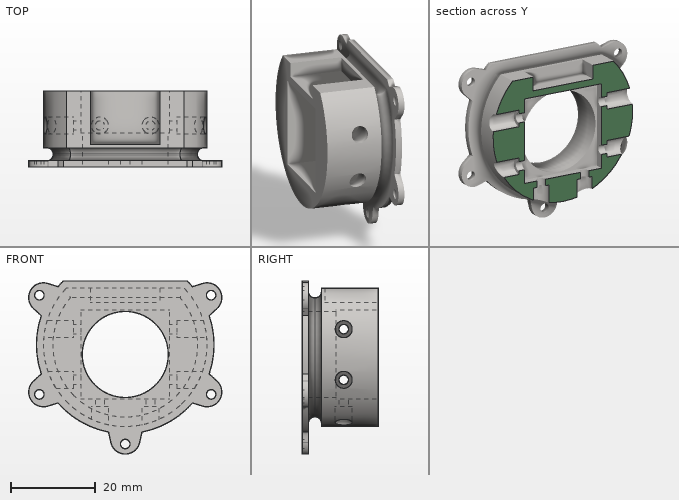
import cadquery as cq
import math

overall_width = 45.7

flange_thickness = 1.5
neck_thickness = 3.0
body_thickness = 13.48
neck_front = flange_thickness
body_front = neck_front + neck_thickness
back = body_front + body_thickness

flange_radius = 21.0
flange_top = 15.1
body_radius = 19.3
body_top = 13.4
neck_inset = 2.25
neck_radius = body_radius - neck_inset
neck_top = body_top - neck_inset
neck_fillet = 1.35

side_tab_angle = 30
tab_angles = (side_tab_angle - 180, -90, -side_tab_angle, side_tab_angle, 180 - side_tab_angle)
tab_end_radius = 3.5
tab_end_distance = (overall_width / 2 - tab_end_radius) / math.cos(math.radians(side_tab_angle))
tab_root_half_width = 3.97
tab_hole_diameter = 2.2
tab_hole_distance = 23.45

bore_z = -2.3
bore_diameter = 20.3
cavity_front = 8.0
cavity_width = 21.0

screw_y = 9.8
screw_spacing = 11.95
screw_diameter = 2.2
screw_head_diameter = 4.0
wall_thickness = 1.75
seat_distance = cavity_width / 2 + wall_thickness

slot_width = 16.35
slot_lip = 0.8
slot_front = body_front + slot_lip


def xz_plane(y):
    """Sketch plane at the given Y, facing -Y, so negative extrusions run towards the back."""
    return cq.Workplane(cq.Plane(origin=(0, y, 0), xDir=(1, 0, 0), normal=(0, -1, 0)))


def flat_topped_disc(radius, top, y, thickness):
    """Disc along Y with its upper part cut off level at Z = top."""
    half_flat = math.sqrt(radius**2 - top**2)
    return (
        xz_plane(y)
        .moveTo(-half_flat, top)
        .lineTo(half_flat, top)
        .threePointArc((0, -radius), (-half_flat, top))
        .close()
        .extrude(-thickness)
    )


def tab(angle):
    """Tapered tab with a round end tangent to both flanks, pointing out at the given angle."""
    root_distance = math.sqrt(flange_radius**2 - tab_root_half_width**2)
    root_to_end = tab_end_distance - root_distance
    root_to_centre = math.hypot(root_to_end, tab_root_half_width)
    taper = math.asin(tab_root_half_width / root_to_centre) - math.asin(tab_end_radius / root_to_centre)
    tangent_x = tab_end_distance + tab_end_radius * math.sin(taper)
    tangent_z = tab_end_radius * math.cos(taper)
    blank = (
        xz_plane(0)
        .moveTo(0, -tab_root_half_width)
        .lineTo(root_distance, -tab_root_half_width)
        .lineTo(tangent_x, -tangent_z)
        .threePointArc((tab_end_distance + tab_end_radius, 0), (tangent_x, tangent_z))
        .lineTo(root_distance, tab_root_half_width)
        .lineTo(0, tab_root_half_width)
        .close()
        .extrude(-flange_thickness)
    )
    return blank.rotate((0, 0, 0), (0, -1, 0), angle)


def tab_hole(angle):
    """Through hole near the end of the tab at the given angle."""
    hole = xz_plane(0).center(tab_hole_distance, 0).circle(tab_hole_diameter / 2).extrude(-flange_thickness)
    return hole.rotate((0, 0, 0), (0, -1, 0), angle)


def wall_screws(angle):
    """Pair of counterbored screw holes, turned from +X about the bore axis by the given angle."""
    outward = cq.Plane(origin=(0, screw_y, 0), xDir=(0, 0, 1), normal=(1, 0, 0))
    positions = [(-screw_spacing / 2, 0), (screw_spacing / 2, 0)]
    shanks = cq.Workplane(outward).pushPoints(positions).circle(screw_diameter / 2).extrude(body_radius)
    heads = (
        cq.Workplane(outward)
        .workplane(offset=seat_distance)
        .pushPoints(positions)
        .circle(screw_head_diameter / 2)
        .extrude(body_radius - seat_distance)
    )
    screws = shanks.union(heads)
    return screws.rotate((0, 0, 0), (0, -1, 0), angle).translate((0, 0, bore_z))


neck = flat_topped_disc(neck_radius, neck_top, neck_front, neck_thickness)
core = (
    flat_topped_disc(flange_radius, flange_top, 0, flange_thickness)
    .union(neck)
    .union(flat_topped_disc(body_radius, body_top, body_front, body_thickness))
)
selection_margin = 0.45
neck_reach = neck_radius + selection_margin
for y in (neck_front, body_front):
    corner_low = (-neck_reach, y - selection_margin, -neck_reach)
    corner_high = (neck_reach, y + selection_margin, neck_top + selection_margin)
    neck_end = cq.selectors.BoxSelector(corner_low, corner_high, boundingbox=True)
    core = core.edges(neck_end).fillet(neck_fillet)

for angle in tab_angles:
    core = core.union(tab(angle)).cut(tab_hole(angle))

bore = xz_plane(0).center(0, bore_z).circle(bore_diameter / 2).extrude(-back)
cavity = xz_plane(cavity_front).center(0, bore_z).rect(cavity_width, cavity_width).extrude(cavity_front - back)
core = core.cut(bore).cut(cavity)

for angle in (0, 180, -90):
    core = core.cut(wall_screws(angle))

slot_floor = bore_z + seat_distance
slot_length = back - slot_front
slot_depth = body_top - slot_floor
slot = cq.Workplane("XY").box(slot_width, slot_length, slot_depth, centered=(True, False, False))
result = core.cut(slot.translate((0, slot_front, slot_floor)))